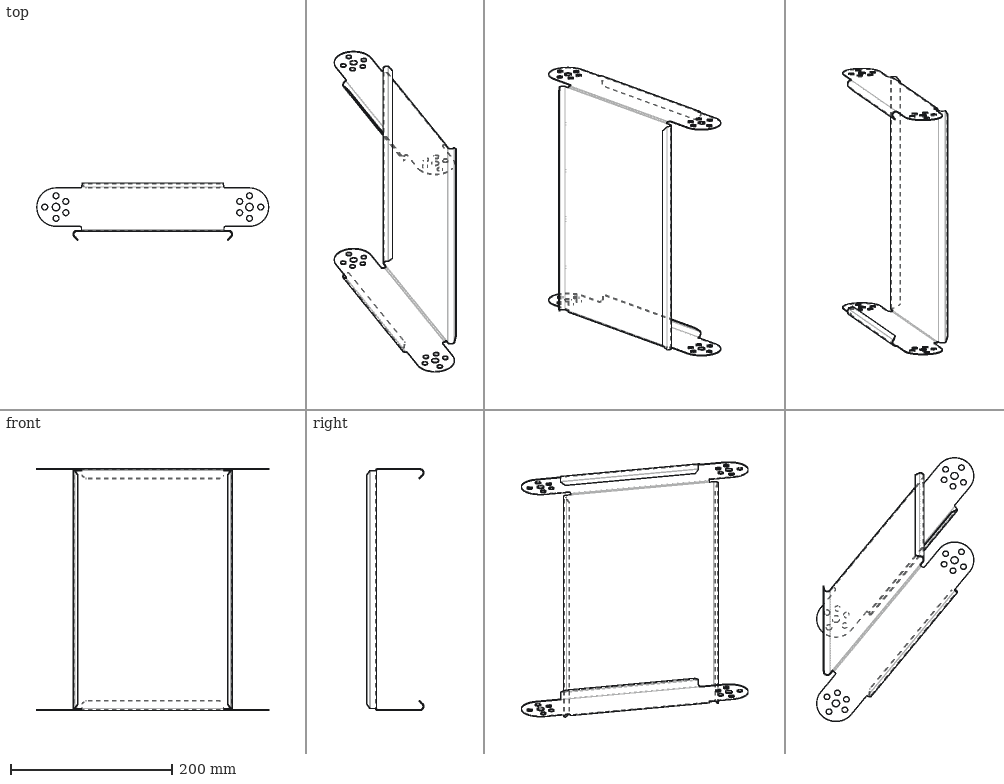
import math

import cadquery as cq

sheet = 1.25
height = 300.0
depth = 60.0
panel_width = 197.75
hook_depth = 12.5

hook_radius = 5.0
hook_angle = 135.0
fold_radius = 2.25
fold_angle = 90.0

plate_length = 288.0
plate_width = 48.0
web_width = 177.0
relief_radius = 2.0
rear_hook_width = 175.0

pivot_diameter = 9.0
bolt_diameter = 7.0
bolt_circle_radius = 14.0
bolt_angles = (0.0, 90.0, 150.0, 210.0, 270.0)

front_y = -depth / 2
rear_y = depth / 2
top_z = height / 2
panel_back_y = front_y + sheet
panel_height = height - 2 * fold_radius
hook_start_x = panel_width / 2 - hook_radius
plate_end_radius = plate_width / 2
hole_center_x = plate_length / 2 - plate_end_radius
fold_start_y = front_y + fold_radius
rear_hook_start_y = rear_y - hook_radius

turn = math.radians(hook_angle)
lip_start_depth = hook_radius * (1 - math.cos(turn))
lip_length = (hook_depth - lip_start_depth) / math.sin(turn)
lip_taper = lip_length


def box_between(x_range, y_range, z_range):
    """Axis-aligned block from its lower and upper limits."""
    size = [high - low for low, high in (x_range, y_range, z_range)]
    corner = (x_range[0], y_range[0], z_range[0])
    return cq.Workplane("XY").box(*size, centered=False).translate(corner)


def bend(radius, angle, length):
    """Bent strip along Z: leaves the origin heading +X and curls towards -Y."""
    inner = radius - sheet

    def on_arc(arc_radius, degrees):
        a = math.radians(degrees)
        return (arc_radius * math.sin(a), arc_radius * math.cos(a) - radius)

    return (
        cq.Workplane("XY")
        .moveTo(*on_arc(radius, 0))
        .threePointArc(on_arc(radius, angle / 2), on_arc(radius, angle))
        .lineTo(*on_arc(inner, angle))
        .threePointArc(on_arc(inner, angle / 2), on_arc(inner, 0))
        .close()
        .extrude(length / 2, both=True)
    )


def hook(length):
    """Bend along Z followed by a straight lip with tapered ends."""
    lip_plane = cq.Plane(
        origin=(hook_radius * math.sin(turn), -lip_start_depth, 0),
        xDir=(math.cos(turn), -math.sin(turn), 0),
        normal=(-math.sin(turn), -math.cos(turn), 0),
    )
    root = length / 2
    tip = root - lip_taper
    lip = (
        cq.Workplane(lip_plane)
        .polyline([(0, -root), (lip_length, -tip), (lip_length, tip), (0, root)])
        .close()
        .extrude(sheet)
    )
    return bend(hook_radius, hook_angle, length).union(lip)


def along_x(strip):
    """Turn a strip so that it runs along X, heads +Y and curls towards -Z."""
    return strip.rotate((0, 0, 0), (1, 1, 1), 120)


def panel():
    """Flat panel with a forward hook on each side edge."""
    body = box_between(
        (-hook_start_x, hook_start_x),
        (front_y, panel_back_y),
        (-panel_height / 2, panel_height / 2),
    )
    side_hook = hook(panel_height).translate((hook_start_x, panel_back_y, 0))
    return body.union(side_hook).union(side_hook.mirror("YZ"))


def plate_blank():
    """Upper mounting plate: rounded strip widened by the web, its front inside corners rounded."""
    z_range = (top_z - sheet, top_z)
    strip = (
        cq.Workplane("XY", origin=(0, 0, z_range[0]))
        .slot2D(plate_length, plate_width)
        .extrude(sheet)
    )
    web = box_between(
        (-web_width / 2, web_width / 2), (fold_start_y, rear_hook_start_y), z_range
    )
    blank = strip.union(web)
    for side in (-1, 1):
        corner = (side * web_width / 2, -plate_width / 2, top_z)
        nearest = cq.selectors.NearestToPointSelector(corner)
        blank = blank.edges("|Z").edges(nearest).fillet(relief_radius)
    return blank


def cut_holes(plate):
    """Pivot hole ringed by bolt holes at both plate ends."""
    for side in (-1, 1):
        center_x = side * hole_center_x
        bolts = [
            (
                center_x + side * bolt_circle_radius * math.cos(math.radians(a)),
                bolt_circle_radius * math.sin(math.radians(a)),
            )
            for a in bolt_angles
        ]
        top = cq.Workplane("XY", origin=(0, 0, top_z))
        plate = plate.cut(top.pushPoints(bolts).circle(bolt_diameter / 2).extrude(-sheet))
        plate = plate.cut(top.center(center_x, 0).circle(pivot_diameter / 2).extrude(-sheet))
    return plate


def rear_hook():
    """Hook on the rear edge of the upper plate, narrowing slightly across its bend."""
    strip = along_x(hook(web_width)).translate((0, rear_hook_start_y, top_z))
    side_cut = (
        cq.Workplane("XY", origin=(0, 0, top_z))
        .polyline([
            (web_width / 2, rear_hook_start_y),
            (web_width / 2, rear_y),
            (rear_hook_width / 2, rear_y),
        ])
        .close()
        .extrude(-hook_depth)
    )
    return strip.cut(side_cut).cut(side_cut.mirror("YZ"))


def mounting_plate():
    """Upper mounting plate with its fold to the panel and its rear hook."""
    fold = along_x(bend(fold_radius, fold_angle, web_width)).mirror("XZ")
    return (
        cut_holes(plate_blank())
        .union(fold.translate((0, fold_start_y, top_z)))
        .union(rear_hook())
    )


upper_plate = mounting_plate()
result = panel().union(upper_plate).union(upper_plate.mirror("XY"))